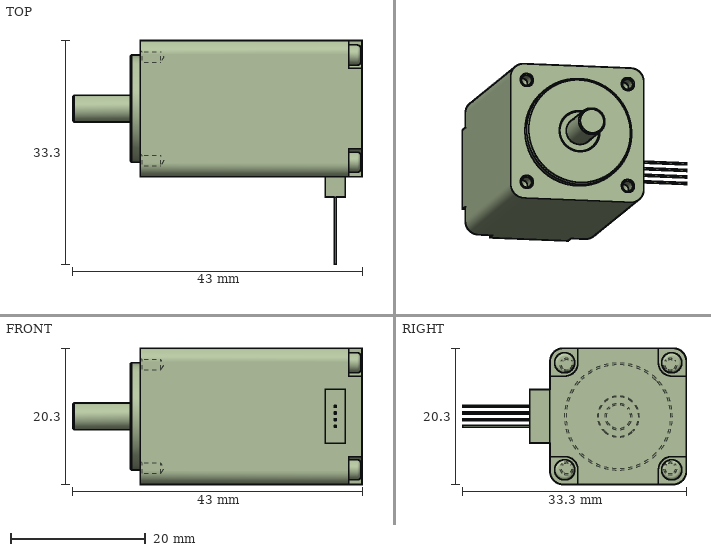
import cadquery as cq
import math

total_length = 43.0
body_size = 20.3
corner_radius = 2.0
flange_diameter = 16.0
flange_length = 1.5
flange_chamfer = 0.25
shaft_diameter = 4.0
shaft_length = 8.5
shaft_chamfer = 0.2

recess_diameter = 6.2
recess_depth = 0.15

hole_offset = 7.7
hole_diameter = 1.55
hole_countersink = 0.2
hole_depth = 3.0
drill_tip_angle = 118.0

notch_depth = 2.0
notch_width = 4.15
screw_offset = 7.95
screw_head_diameter = 3.0
screw_head_height = 1.8
screw_head_fillet = 0.5

connector_length = 3.0
connector_depth = 3.0
connector_height = 8.0
connector_rear_gap = 2.5
pin_diameter = 0.32
pin_length = 9.98
pin_pitch = 1.0
pin_count = 4

flange_x = shaft_length
body_x = flange_x + flange_length
body_length = total_length - body_x
notch_x = total_length - notch_depth
half_body = body_size / 2
notch_radius = notch_width - (half_body - screw_offset)
corner_signs = [(y, z) for y in (-1, 1) for z in (-1, 1)]


def plane_at(x):
    """Plane across the motor axis; local axes are global Y and Z, normal is +X."""
    return cq.Workplane("YZ", origin=(x, 0, 0))


def make_housing():
    """Square motor housing with rounded long edges."""
    housing = plane_at(body_x).rect(body_size, body_size).extrude(body_length)
    return housing.edges("|X").fillet(corner_radius)


def make_flange():
    """Round pilot flange with a shallow conical recess around the shaft."""
    flange = plane_at(flange_x).circle(flange_diameter / 2).extrude(flange_length)
    flange = flange.faces("<X").chamfer(flange_chamfer)
    recess_radius = recess_diameter / 2
    recess = cq.Solid.makeCone(
        recess_radius, recess_radius - recess_depth, recess_depth,
        cq.Vector(flange_x, 0, 0), cq.Vector(1, 0, 0),
    )
    return flange.cut(cq.Workplane(recess))


def make_shaft():
    """Output shaft, chamfered at its free end."""
    shaft = plane_at(0).circle(shaft_diameter / 2).extrude(body_x)
    return shaft.faces("<X").chamfer(shaft_chamfer)


def make_hole_cutter(y, z):
    """Blind mounting hole with a countersunk mouth and a drill-point bottom."""
    radius = hole_diameter / 2
    tip_length = radius / math.tan(math.radians(drill_tip_angle / 2))
    profile = [
        (0, 0),
        (0, radius + hole_countersink),
        (hole_countersink, radius),
        (hole_depth, radius),
        (hole_depth + tip_length, 0),
    ]
    cutter = cq.Workplane("XY").polyline(profile).close().revolve(360, (0, 0), (1, 0))
    return cutter.translate((body_x, y, z))


def make_notch(sign_y, sign_z):
    """Rear corner notch with a rounded inner edge."""
    centre = half_body - notch_width / 2
    block = plane_at(notch_x).rect(notch_width, notch_width).extrude(notch_depth)
    block = block.translate((0, sign_y * centre, sign_z * centre))
    inner_y = "<Y" if sign_y > 0 else ">Y"
    inner_edge = block.faces(inner_y).edges("|X").edges("<Z" if sign_z > 0 else ">Z")
    return inner_edge.fillet(notch_radius)


def make_screw_head(y, z):
    """Cap screw head with a rounded rim, seated on the notch floor."""
    head = plane_at(notch_x).center(y, z).circle(screw_head_diameter / 2).extrude(screw_head_height)
    return head.faces(">X").edges().fillet(screw_head_fillet)


def make_connector():
    """Connector block with a vertical row of wire pins."""
    connector_x = total_length - connector_rear_gap - connector_length / 2
    connector = cq.Workplane("XZ", origin=(connector_x, -half_body, 0))
    connector = connector.rect(connector_length, connector_height).extrude(connector_depth)
    pins = cq.Workplane("XZ", origin=(connector_x, -half_body - connector_depth, 0))
    pins = pins.rarray(0.45, pin_pitch, 1, pin_count).circle(pin_diameter / 2).extrude(pin_length)
    return connector.union(pins)


motor = make_housing()
for sign_y, sign_z in corner_signs:
    motor = motor.cut(make_hole_cutter(sign_y * hole_offset, sign_z * hole_offset))
    motor = motor.cut(make_notch(sign_y, sign_z))
    motor = motor.union(make_screw_head(sign_y * screw_offset, sign_z * screw_offset))

result = motor.union(make_flange()).union(make_shaft()).union(make_connector())